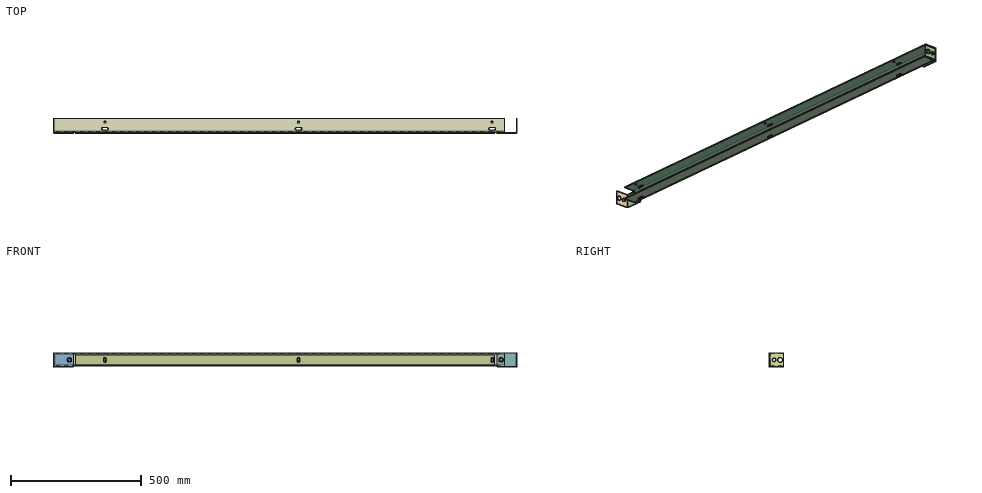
import cadquery as cq

total_length = 1771.65
total_depth = 57.15
total_height = 53.98
left_end = -total_length / 2
front_face = -total_depth / 2
back_face = total_depth / 2
top_face = total_height / 2

sheet = 3.175
bend_radius = 2 * sheet
inner_bend_radius = bend_radius - sheet

small_hole = 7.92
bolt_hole = 10.31

channel_length = 1720.85
channel_height = 50.8
channel_start = left_end + sheet
channel_front = front_face + sheet
channel_bottom = top_face - channel_height

bracket_length = 76.2
bracket_corner_radius = 3.175
bracket_hole = 17.5
bracket_hole_inset = 61.5
bracket_hole_x = left_end + bracket_hole_inset
flange_back_hole = 17.5
flange_back_hole_y = 15.1
flange_front_hole = 12.7
flange_front_hole_y = -8

strip_length = 1600.2
strip_height = 38.1
strip_gap = 8.9
strip_start = left_end + bracket_length + strip_gap
strip_slot_length = 19.05

station_count = 3
station_spacing = 739.5
first_station = -688.8
stations = [first_station + i * station_spacing for i in range(station_count)]
top_hole_y = 14.5
lip_slot_y = -10.7
lip_slot_length = 25.4


def drill_front(x, diameter):
    """Round cutter through the front sheets, along Y at mid height."""
    cutter = cq.Workplane("XZ", origin=(x, front_face, 0)).circle(diameter / 2)
    return cutter.extrude(-2 * sheet)


def drill_flange(y, diameter):
    """Round cutter through the left bracket flange, along X at mid height."""
    cutter = cq.Workplane("YZ", origin=(left_end, y, 0)).circle(diameter / 2)
    return cutter.extrude(sheet)


def make_channel():
    bend_end = channel_front + bend_radius
    upper_bend = top_face - bend_radius
    lower_bend = channel_bottom + bend_radius
    web_inside = channel_front + sheet
    channel = (
        cq.Workplane("YZ", origin=(channel_start, 0, 0))
        .moveTo(back_face, top_face)
        .lineTo(bend_end, top_face)
        .radiusArc((channel_front, upper_bend), -bend_radius)
        .lineTo(channel_front, lower_bend)
        .radiusArc((bend_end, channel_bottom), -bend_radius)
        .lineTo(back_face, channel_bottom)
        .lineTo(back_face, channel_bottom + sheet)
        .lineTo(bend_end, channel_bottom + sheet)
        .radiusArc((web_inside, lower_bend), inner_bend_radius)
        .lineTo(web_inside, upper_bend)
        .radiusArc((bend_end, top_face - sheet), inner_bend_radius)
        .lineTo(back_face, top_face - sheet)
        .close()
        .extrude(channel_length)
    )
    for x in stations:
        top_hole = cq.Workplane("XY", origin=(x, top_hole_y, top_face)).circle(small_hole / 2)
        channel = channel.cut(top_hole.extrude(-sheet))
        lip_slot = cq.Workplane("XY", origin=(x, lip_slot_y, top_face)).slot2D(lip_slot_length, small_hole)
        channel = channel.cut(lip_slot.extrude(-channel_height))
        channel = channel.cut(drill_front(x, small_hole))
    for x in (bracket_hole_x, -bracket_hole_x):
        channel = channel.cut(drill_front(x, bolt_hole))
    return channel


def make_strip():
    strip = (
        cq.Workplane("XY", origin=(strip_start, front_face, 0))
        .box(strip_length, sheet, strip_height, centered=(False, False, True))
    )
    for x in stations:
        upright_slot = cq.Workplane("XZ", origin=(x, front_face, 0)).slot2D(strip_slot_length, bolt_hole, 90)
        strip = strip.cut(upright_slot.extrude(-sheet))
    return strip


def make_left_bracket():
    plate_end = left_end + bracket_length
    bracket = (
        cq.Workplane("XY", origin=(0, 0, -total_height / 2))
        .moveTo(plate_end, front_face)
        .lineTo(left_end + bend_radius, front_face)
        .radiusArc((left_end, front_face + bend_radius), bend_radius)
        .lineTo(left_end, back_face)
        .lineTo(left_end + sheet, back_face)
        .lineTo(left_end + sheet, front_face + sheet)
        .lineTo(plate_end, front_face + sheet)
        .close()
        .extrude(total_height)
    )
    bracket = bracket.faces(">X").edges("|Y").fillet(bracket_corner_radius)
    bracket = bracket.faces(">Y").edges("|X").fillet(bracket_corner_radius)
    bracket = bracket.cut(drill_front(bracket_hole_x, bracket_hole))
    bracket = bracket.cut(drill_flange(flange_back_hole_y, flange_back_hole))
    bracket = bracket.cut(drill_flange(flange_front_hole_y, flange_front_hole))
    return bracket


channel = make_channel()
strip = make_strip()
left_bracket = make_left_bracket()
brackets = [left_bracket, left_bracket.mirror("YZ")]

result = cq.Compound.makeCompound(
    [channel.val(), strip.val(), *[bracket.val() for bracket in brackets]]
)